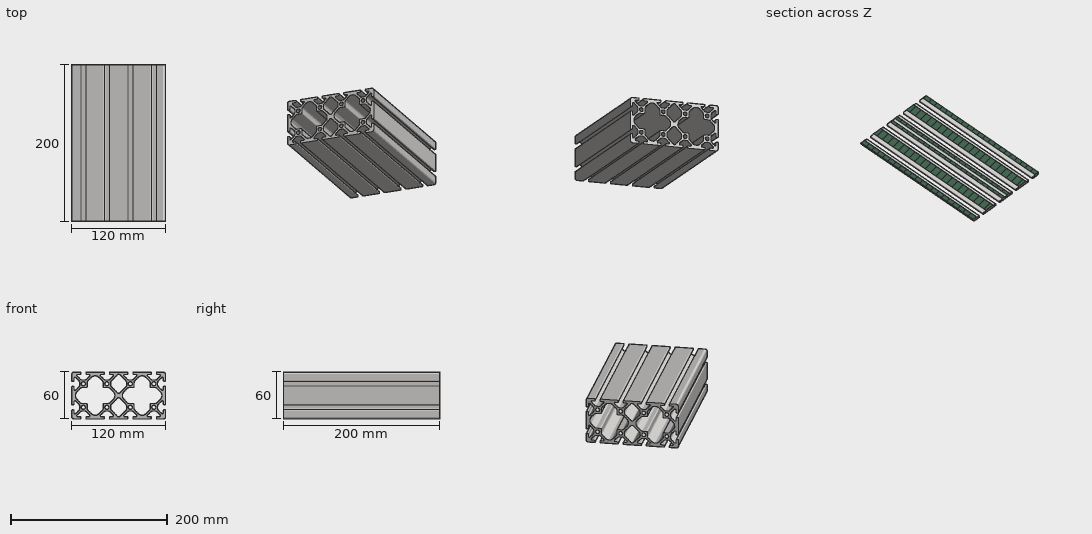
import math

import cadquery as cq

cell = 30.0
columns = 4
rows = 2
length = 200.0
width = columns * cell
height = rows * cell
outer_corner_radius = 3.0

bore_diameter = 5.0
boss_half = 4.9
boss_corner_radius = 1.5

web_thickness = 2.9
web_fillet_radius = 3.0
web_offset = web_thickness / math.sqrt(2)

slot_gap_half = 3.1
lip_thickness = 3.15
lip_outer_radius = 1.1
lip_inner_radius = 1.4
chamber_corner_radius = 1.1
mouth_clearance = 1.0

cavity_reach = 25.1
diamond_reach = 12.1

half_cell = cell / 2


def rounded_outline(corners):
    """Closed wire through (x, z, radius) corners, each rounded by its radius."""
    stretches = []
    for index, (x, z, radius) in enumerate(corners):
        corner = cq.Vector(x, z)
        if radius == 0:
            stretches.append([corner])
            continue
        before = corners[index - 1]
        after = corners[(index + 1) % len(corners)]
        to_before = (cq.Vector(before[0], before[1]) - corner).normalized()
        to_after = (cq.Vector(after[0], after[1]) - corner).normalized()
        half_angle = to_before.getAngle(to_after) / 2
        setback = radius / math.tan(half_angle)
        bisector = (to_before + to_after).normalized()
        middle = corner + bisector * (radius / math.sin(half_angle) - radius)
        stretches.append([corner + to_before * setback, middle, corner + to_after * setback])

    start = stretches[0][-1]
    outline = cq.Workplane("XZ").moveTo(start.x, start.y)
    for stretch in stretches[1:] + stretches[:1]:
        outline = outline.lineTo(stretch[0].x, stretch[0].y)
        if len(stretch) > 1:
            outline = outline.threePointArc(stretch[1].toTuple()[:2], stretch[2].toTuple()[:2])
    return outline.close()


def prism(corners):
    """Full-length bar with the given rounded cross-section, centred on Y = 0."""
    return rounded_outline(corners).extrude(length / 2, both=True)


def quarter_turned(corners):
    """Repeat one quarter of an outline four times around its centre."""
    outline = []
    for x_axis, z_axis in ((1, 0), (0, 1), (-1, 0), (0, -1)):
        for x, z, radius in corners:
            outline.append((x * x_axis - z * z_axis, x * z_axis + z * x_axis, radius))
    return outline


def tip_radius(sharp_reach, reach):
    """Radius that pulls a square tip back from sharp_reach to reach."""
    return (sharp_reach - reach) / (math.sqrt(2) - 1)


def make_slot():
    """T-slot cutter opening towards +Z, with the bore centre at the origin."""
    lip_inside = half_cell - lip_thickness
    floor_half = boss_half - web_offset
    chamber_half = lip_inside - web_offset
    flare_half = slot_gap_half + 2 * lip_outer_radius
    top = half_cell + mouth_clearance
    right_side = [
        (floor_half, boss_half, web_fillet_radius),
        (chamber_half, lip_inside, chamber_corner_radius),
        (slot_gap_half, lip_inside, lip_inner_radius),
        (slot_gap_half, half_cell, lip_outer_radius),
        (flare_half, half_cell, 0),
        (flare_half, top, 0),
    ]
    left_side = [(-x, z, radius) for x, z, radius in reversed(right_side)]
    return prism(right_side + left_side)


def make_cavity():
    """Large cross-shaped cavity between four bosses."""
    sharp_reach = cell - web_offset
    boss_face = half_cell - boss_half
    web_start = sharp_reach - boss_face
    quarter = [
        (sharp_reach, 0, tip_radius(sharp_reach, cavity_reach)),
        (web_start, boss_face, web_fillet_radius),
        (boss_face, boss_face, boss_corner_radius),
        (boss_face, web_start, web_fillet_radius),
    ]
    return prism(quarter_turned(quarter))


def make_diamond():
    """Diamond cavity between two bosses, its side tips cut flat by the bosses."""
    sharp_reach = half_cell - web_offset
    boss_face = half_cell - boss_half
    web_start = sharp_reach - boss_face
    radius = tip_radius(sharp_reach, diamond_reach)
    return prism([
        (boss_face, -web_start, web_fillet_radius),
        (boss_face, web_start, web_fillet_radius),
        (0, sharp_reach, radius),
        (-boss_face, web_start, web_fillet_radius),
        (-boss_face, -web_start, web_fillet_radius),
        (0, -sharp_reach, radius),
    ])


column_centres = [(index - (columns - 1) / 2) * cell for index in range(columns)]
row_centres = [(index - (rows - 1) / 2) * cell for index in range(rows)]

result = cq.Workplane("XY").box(width, length, height).edges("|Y").fillet(outer_corner_radius)

bore = cq.Workplane("XZ").circle(bore_diameter / 2).extrude(length / 2, both=True)
for x in column_centres:
    for z in row_centres:
        result = result.cut(bore.translate((x, 0, z)))

slot = make_slot()
slot_turned = {angle: slot.rotate((0, 0, 0), (0, 1, 0), angle) for angle in (0, 90, 180, 270)}
for x in column_centres:
    result = result.cut(slot_turned[0].translate((x, 0, row_centres[-1])))
    result = result.cut(slot_turned[180].translate((x, 0, row_centres[0])))
for z in row_centres:
    result = result.cut(slot_turned[90].translate((column_centres[-1], 0, z)))
    result = result.cut(slot_turned[270].translate((column_centres[0], 0, z)))

cavity = make_cavity()
for x in (-cell, cell):
    result = result.cut(cavity.translate((x, 0, 0)))
diamond = make_diamond()
for z in row_centres:
    result = result.cut(diamond.translate((0, 0, z)))